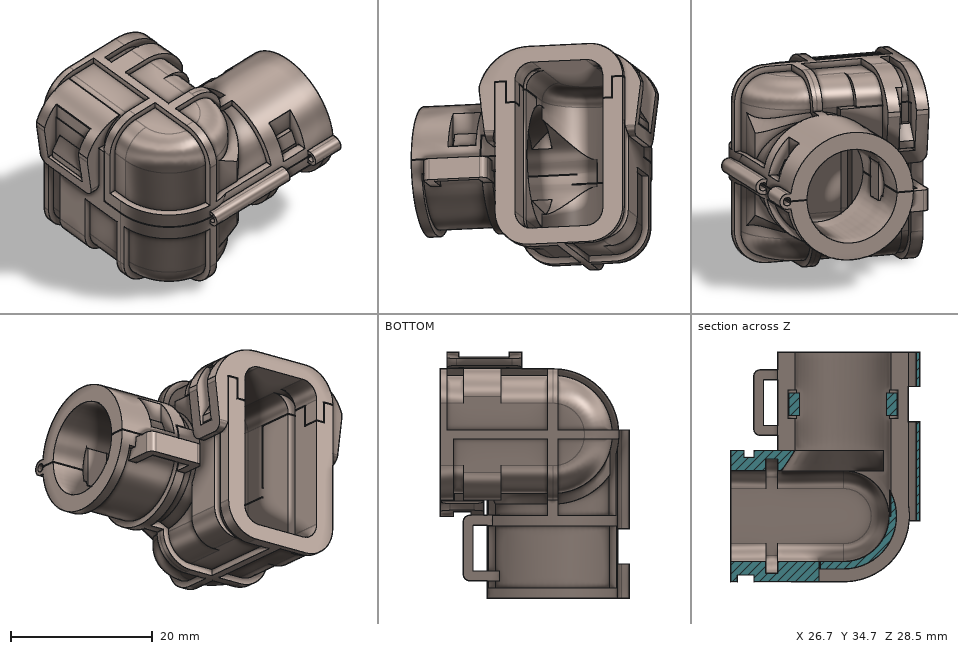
import cadquery as cq

box_width = 18.55
box_height = 28.45
outline_radius = 4.85
skin_inset = 0.95
bend_x = 15.95
tube_x = 15.85
tube_radius = 9.25
tube_left_x = tube_x - tube_radius
tube_end_y = 32.4
mid_y = box_width / 2
mid_z = box_height / 2
end_x = bend_x + mid_y
skin_low_z = skin_inset
skin_high_z = box_height - skin_inset
skin_radius = outline_radius - skin_inset

cavity_half_width = 6.4
cavity_low_z = 2.3
cavity_radius = 2.5
cavity_front_y = mid_y - cavity_half_width
cavity_back_y = mid_y + cavity_half_width
groove_start_x, groove_end_x = 4.97, 6.6
groove_depth = 1.67
bore_radius = 6.77
flare_radius = 8.7
flare_end_x = 21.55

gap = 0.15
mouth_seam_z = 23.55
seam_drop_x = 12.47
inner_seam_z = 12.8
lap_core_half_width = 7.47
lip_length = 2.65
lip_low_z = 20.45
lip_inset = 1.5

flange_front_end_x = 0.95
flange_back_end_x = 1.88
pad_start_x = 3.25
pad_end_x = 8.55
back_pad_end_x = 6.15
back_step_end_x = 10.07
spine_width = 1.3
rib_width = 1.45
rib_start_x = 15.15
lid_rib_width = 1.3
band_low_z, band_high_z = 12.02, 16.5
recess_high_z = 17.4

latch_reach = 2.33
latch_low_z = 15.2
latch_knee_z = 16.68
latch_high_z, latch_shoulder_z = 23.0, 22.3
latch_corner_radius = 1.4
latch_clearance = 0.1
latch_tip_outer, latch_tip_inner = 1.42, 0.5
latch_end_x = 11.55
front_window = (2.65, 9.73)
back_window = (1.88, 4.3)
latch_window_low_z, latch_window_high_z = 17.05, 26.1

front_catch = (3.25, 9.38)
back_catch = (1.95, 4.05)
catch_reach = 1.42
catch_high_z, catch_ramp_z = 20.65, 18.45

tube_skin_radius = tube_radius - skin_inset
throat_end_y = 19.1
throat_end_x = 23.97
throat_radius = 12.5
collar_start_y = 20.75
collar_width = 1.5
collar_end_y = collar_start_y + collar_width
tube_band_low_z = 12.23
shoulder_high_z = 17.3
shoulder_seam_x = 7.65
snap_low_y, snap_high_y = 23.03, 27.1
snap_gap = 0.4
snap_low_z, snap_high_z = 15.9, 21.23
snap_depth_x = 9.83
snap_slot_x = 8.05
snap_root_z = 12.5
tongue_outer_x, tongue_crest_x, tongue_inner_x = 8.2, 9.05, 9.73
tongue_ramp_z, tongue_high_z = 16.25, 18.1
tongue_root = 0.7

hinge_radius = 1.1
hinge_hole_radius = 0.6
hinge_reach = 1.45
hinge_root = 0.28
hinge_spans = [(8.6, 22.6), (27.55, tube_end_y)]
strap_left_x = 3.23
strap_bar = 1.42
strap_low_y, strap_high_y = 20.67, 29.95
strap_low_z, strap_high_z = 10.6, 13.62
strap_root_x = 8.7
strap_corner_radius = 0.95


def block(x0, x1, y0, y1, z0, z1):
    """Box between two opposite corners."""
    return cq.Workplane("XY").box(x1 - x0, y1 - y0, z1 - z0, centered=False).translate((x0, y0, z0))


def channel(x0, x1, half_width, low_z, radius):
    """Bar along X with a rounded-rectangle section centred on the box."""
    bar = cq.Workplane("YZ").center(mid_y, mid_z).rect(2 * half_width, 2 * (mid_z - low_z)).extrude(x1 - x0)
    return bar.edges("|X").fillet(radius).translate((x0, 0, 0))


def elbow(half_width, low_z, radius):
    """Channel from the mouth closed by a half turn about the bend axis."""
    half_height = mid_z - low_z
    flat = half_width - radius
    half_turn = (
        cq.Workplane("YZ")
        .moveTo(0, -half_height)
        .lineTo(flat, -half_height)
        .radiusArc((half_width, radius - half_height), -radius)
        .lineTo(half_width, half_height - radius)
        .radiusArc((flat, half_height), -radius)
        .lineTo(0, half_height)
        .close()
        .revolve(180, (0, 0, 0), (0, -1, 0))
        .translate((bend_x, mid_y, mid_z))
    )
    return channel(0, bend_x, half_width, low_z, radius).union(half_turn)


def cylinder_y(radius, y0, y1):
    """Round bar on the tube axis."""
    return cq.Workplane("XZ", origin=(tube_x, y0, mid_z)).circle(radius).extrude(y0 - y1)


def cone_y(radius0, y0, radius1, y1):
    """Cone on the tube axis, tapering from one radius to another along Y."""
    start = cq.Workplane("XZ", origin=(tube_x, y0, mid_z)).circle(radius0)
    return start.workplane(offset=y0 - y1).circle(radius1).loft()


def make_box():
    """Recessed skin with the ribs, pads and bands standing on it."""
    outline = elbow(mid_y, 0, outline_radius)
    pad_section = channel(0, bend_x, mid_y, skin_low_z, skin_radius)
    lid_rib_end_x = seam_drop_x + lid_rib_width
    rib_end_x = rib_start_x + rib_width
    full_ribs = [
        (0, flange_front_end_x, 0, mid_y, 0, box_height),
        (0, flange_back_end_x, mid_y, box_width, 0, box_height),
        (0, end_x, mid_y - spine_width / 2, mid_y + spine_width / 2, 0, box_height),
        (pad_start_x, back_pad_end_x, mid_y, box_width, mid_z, box_height),
        (seam_drop_x, lid_rib_end_x, 0, mid_y, mid_z, box_height),
        (rib_start_x, rib_end_x, mid_y, box_width, 0, box_height),
        (rib_start_x, rib_end_x, 0, mid_y, 0, mid_z),
        (seam_drop_x, end_x, 0, box_width, band_low_z, band_high_z),
    ]
    pads = [
        (pad_start_x, pad_end_x, 0, box_width, 0, band_low_z),
        (pad_start_x, seam_drop_x, 0, box_width, band_low_z, mouth_seam_z),
        (flange_front_end_x, pad_start_x, 0, mid_y, recess_high_z, mouth_seam_z),
        (back_pad_end_x, back_step_end_x, mid_y, box_width, mouth_seam_z, box_height),
    ]
    body = elbow(mid_y - skin_inset, skin_low_z, skin_radius)
    for limits in full_ribs:
        body = body.union(outline.intersect(block(*limits)))
    for limits in pads:
        body = body.union(pad_section.intersect(block(*limits)))
    return body


def make_tube():
    """Round outlet: plain upper shell, lower shell carried by collars."""
    collar = cylinder_y(tube_radius, mid_y, tube_end_y)
    tube = cylinder_y(tube_skin_radius, mid_y, tube_end_y)
    raised = [
        (tube_left_x, end_x, collar_start_y, tube_end_y, mid_z, box_height),
        (tube_left_x, end_x, collar_start_y, collar_end_y, 0, mid_z),
        (tube_left_x, end_x, tube_end_y - collar_width, tube_end_y, 0, mid_z),
        (tube_left_x, end_x, box_width, tube_end_y, tube_band_low_z, mid_z),
        (tube_left_x, tube_x, box_width, collar_end_y, mid_z, shoulder_high_z),
        (tube_x, end_x, mid_y, collar_start_y, band_low_z, band_high_z),
        (rib_start_x, rib_start_x + rib_width, mid_y, collar_start_y, 0, box_height),
    ]
    for limits in raised:
        tube = tube.union(collar.intersect(block(*limits)))
    throat = cone_y(throat_radius, mid_y, tube_skin_radius, throat_end_y)
    throat = throat.intersect(elbow(throat_end_y - mid_y, skin_low_z, skin_radius))
    return tube.union(throat.intersect(block(tube_left_x, throat_end_x, mid_y, throat_end_y, 0, box_height)))


def cavity_parts():
    """Mouth channel and rounded end, seal groove, flare into the tube, and bore."""
    groove = block(groove_start_x, groove_end_x, cavity_front_y - groove_depth,
                   cavity_back_y + groove_depth, cavity_low_z, box_height - cavity_low_z)
    flare = cone_y(flare_radius, cavity_back_y, bore_radius, box_width)
    flare = flare.intersect(block(0, flare_end_x, 0, box_width, 0, box_height))
    return [
        elbow(cavity_half_width, cavity_low_z, cavity_radius),
        groove.edges("|X").fillet(cavity_radius),
        flare,
        cylinder_y(bore_radius, mid_y, tube_end_y),
    ]


def on_side(shape, back):
    """Leave a feature on the front side, or mirror it to the back side."""
    if back:
        return shape.mirror("XZ", (0, mid_y, 0))
    return shape


def make_latch(x0, x1, shoulder_y, top_z, window_x0, window_x1):
    """Snap tongue of the lid, curving over a long edge and hanging beside the base."""
    drop = top_z - latch_high_z
    run = shoulder_y + latch_reach
    arc_radius = (run ** 2 + drop ** 2) / (2 * drop)
    profile = (
        cq.Workplane("YZ", origin=(x0, 0, 0))
        .moveTo(shoulder_y, top_z)
        .radiusArc((-latch_reach, latch_high_z), -arc_radius)
        .lineTo(-latch_reach, latch_shoulder_z)
        .lineTo(-latch_tip_outer, latch_low_z)
        .lineTo(-latch_tip_inner, latch_low_z)
        .lineTo(-latch_clearance, latch_knee_z)
        .lineTo(-latch_clearance, mouth_seam_z)
        .lineTo(shoulder_y, mouth_seam_z)
        .close()
        .extrude(x1 - x0)
    )
    plate = block(x0, x1, -latch_reach, shoulder_y, latch_low_z, top_z)
    plate = plate.edges("|Y").edges("<Z").fillet(latch_corner_radius)
    window = block(window_x0, window_x1, -latch_reach, 0, latch_window_low_z, latch_window_high_z)
    return profile.intersect(plate).cut(window)


def make_catch(x0, x1):
    """Ramped hook on the base that a latch window snaps over."""
    return (
        cq.Workplane("YZ", origin=(x0, 0, 0))
        .moveTo(0, catch_high_z)
        .lineTo(-catch_reach, catch_ramp_z)
        .lineTo(-catch_reach, recess_high_z)
        .lineTo(skin_inset, recess_high_z)
        .lineTo(skin_inset, catch_high_z)
        .close()
        .extrude(x1 - x0)
    )


def seam_parts():
    """Thin gaps between base and lid: beside the mouth, down the sides and along the middle."""
    drop_end_x = seam_drop_x + gap
    side_low, side_high = mouth_seam_z - gap / 2, mouth_seam_z + gap / 2
    mid_low, mid_high = mid_z - gap / 2, mid_z + gap / 2
    lap_core = elbow(lap_core_half_width, 0, cavity_radius)
    past_drop = block(seam_drop_x, end_x, 0, box_width, mid_low, mid_high)
    inner_step = block(drop_end_x, end_x, 0, box_width, inner_seam_z - gap / 2, inner_seam_z + gap / 2)
    parts = [
        past_drop.cut(lap_core),
        inner_step.intersect(lap_core),
        block(0, end_x, box_width, tube_end_y, mid_low, mid_high),
        block(tube_left_x, shoulder_seam_x, box_width, collar_end_y, shoulder_high_z, shoulder_high_z + gap),
        block(tube_left_x, shoulder_seam_x, collar_end_y, collar_end_y + gap, mid_z, shoulder_high_z + gap),
    ]
    lip_back_y = lip_inset + gap
    for back in (False, True):
        sides = [
            block(0, lip_length, 0, lip_back_y, side_low, side_high),
            block(0, lip_length, lip_inset, lip_back_y, lip_low_z, side_high),
            block(0, lip_length, lip_inset, cavity_front_y, lip_low_z, lip_low_z + gap),
            block(lip_length, lip_length + gap, lip_inset, cavity_front_y, lip_low_z, side_high),
            block(lip_length, drop_end_x, 0, cavity_front_y, side_low, side_high),
            block(seam_drop_x, drop_end_x, 0, cavity_front_y, mid_low, side_high),
        ]
        parts += [on_side(part, back) for part in sides]
    return parts


def mirrored_on_tube(shape):
    """The same shape on the opposite side of the tube axis."""
    return shape.mirror("YZ", (tube_x, 0, 0))


def snap_openings():
    """Lid pocket, the slot below it that frees the base tongue."""
    pocket = block(tube_left_x, snap_depth_x, snap_low_y, snap_high_y, snap_low_z, snap_high_z)
    slot = block(snap_slot_x, snap_depth_x, snap_low_y, snap_high_y, snap_root_z, snap_low_z)
    return [pocket, slot]


def make_tongue():
    """Base tongue with a ramped tip that reaches into the lid pocket."""
    return (
        cq.Workplane("XZ", origin=(0, snap_low_y + snap_gap, 0))
        .moveTo(tongue_inner_x, snap_root_z - tongue_root)
        .lineTo(tongue_inner_x, tongue_high_z)
        .lineTo(tongue_crest_x, tongue_high_z)
        .lineTo(tongue_outer_x, tongue_ramp_z)
        .lineTo(tongue_outer_x, snap_root_z - tongue_root)
        .close()
        .extrude(-(snap_high_y - snap_low_y - 2 * snap_gap))
    )


def make_hinge(y0, y1):
    """Loop along Y that joins lid and base on the outer side."""
    round_x = end_x + hinge_reach - hinge_radius
    loop = cq.Workplane("XZ", origin=(round_x, y0, mid_z)).circle(hinge_radius).extrude(y0 - y1)
    loop = loop.union(block(end_x - hinge_root, round_x, y0, y1, mid_z - hinge_radius, mid_z + hinge_radius))
    hole = cq.Workplane("XZ", origin=(round_x, y0, mid_z)).circle(hinge_hole_radius).extrude(y0 - y1)
    return loop.cut(hole)


def make_strap_eye():
    """U-shaped eye beside the tube."""
    eye = block(strap_left_x, strap_root_x, strap_low_y, strap_high_y, strap_low_z, strap_high_z)
    eye = eye.edges("|Z and <X").fillet(strap_corner_radius)
    return eye.cut(block(strap_left_x + strap_bar, strap_root_x, strap_low_y + strap_bar,
                         strap_high_y - strap_bar, strap_low_z, strap_high_z))


front_latch = make_latch(flange_front_end_x, latch_end_x, skin_radius, skin_high_z, *front_window)
back_latch = make_latch(0, back_pad_end_x, outline_radius, box_height, *back_window)
back_slot = block(flange_back_end_x, pad_start_x, -latch_reach, outline_radius, mouth_seam_z, box_height)

part = make_box().union(make_tube()).union(make_strap_eye())
for y0, y1 in hinge_spans:
    part = part.union(make_hinge(y0, y1))
part = part.union(front_latch).union(on_side(back_latch.cut(back_slot), True))
part = part.union(make_catch(*front_catch)).union(on_side(make_catch(*back_catch), True))
for void in cavity_parts() + seam_parts():
    part = part.cut(void)
for void in snap_openings():
    part = part.cut(void).cut(mirrored_on_tube(void))
tongue = make_tongue()
result = part.union(tongue).union(mirrored_on_tube(tongue))